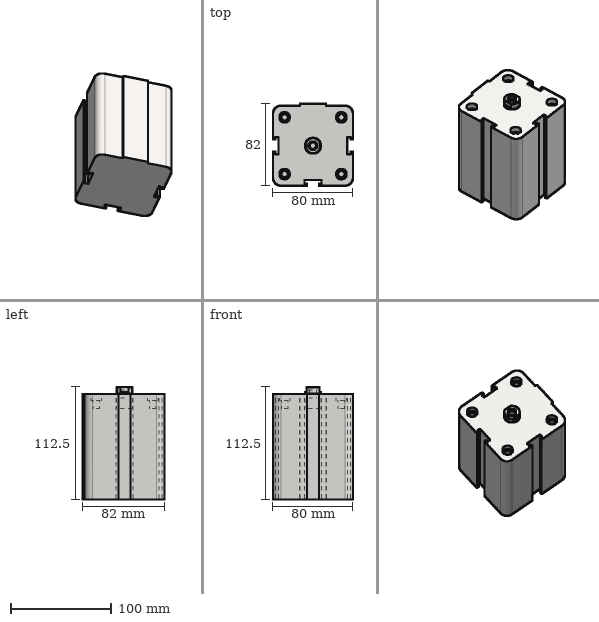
import cadquery as cq

TOTAL_HEIGHT = 112.5
WIDTH = 80.0
HALF_WIDTH = WIDTH / 2
HOUSING_HEIGHT = 105.3
CAP_HEIGHT = 14.4
CORNER_RADIUS = 8.1

PAD_HEIGHT = 2.0
PAD_TOP_WIDTH = 25.5
PAD_BASE_WIDTH = 26.5

SLOT_OPENING = 11.9
SLOT_INNER_WIDTH = 16.5
SLOT_LIP = 2.5
SLOT_DEPTH = 5.6
SLOT_TURNS = (0, 90, -90)

BOLT_SPACING = 56.6
BOLT_HEAD_DIAMETER = 10.5
BOLT_HEAD_DEPTH = 6.6
BOLT_BORE_DIAMETER = 6.6
BOLT_BORE_DEPTH = CAP_HEIGHT

LIP_DIAMETER = 16.0
LIP_HEIGHT = 0.7

ROD_DIAMETER = 15.6
ROD_INSERTION = CAP_HEIGHT
ROD_TIP_DIAMETER = 15.1
ROD_CHAMFER_HEIGHT = 0.6
FLAT_SPACING = 13.2
FLAT_HEIGHT = 5.4
SOCKET_DIAMETER = 8.4
SOCKET_DEPTH = 3.4
ROD_BORE_DIAMETER = 6.6
ROD_BORE_DEPTH = 11.2

ROD_BOTTOM = HOUSING_HEIGHT - ROD_INSERTION
ROD_RADIUS = ROD_DIAMETER / 2


def make_block():
    """Square block with rounded vertical edges."""
    return (
        cq.Workplane("XY")
        .rect(WIDTH, WIDTH)
        .extrude(HOUSING_HEIGHT)
        .edges("|Z")
        .fillet(CORNER_RADIUS)
    )


def make_pad():
    """Full-height pad with sloped flanks on the +Y face, rooted inside the block."""
    return (
        cq.Workplane("XY")
        .moveTo(-PAD_BASE_WIDTH / 2, 0)
        .lineTo(PAD_BASE_WIDTH / 2, 0)
        .lineTo(PAD_BASE_WIDTH / 2, HALF_WIDTH)
        .lineTo(PAD_TOP_WIDTH / 2, HALF_WIDTH + PAD_HEIGHT)
        .lineTo(-PAD_TOP_WIDTH / 2, HALF_WIDTH + PAD_HEIGHT)
        .lineTo(-PAD_BASE_WIDTH / 2, HALF_WIDTH)
        .close()
        .extrude(HOUSING_HEIGHT)
    )


def make_slot(turn):
    """Cutter for one full-height T-slot."""
    neck = cq.Workplane("XY").box(
        SLOT_OPENING, SLOT_DEPTH, HOUSING_HEIGHT, centered=(True, False, False)
    )
    wide = cq.Workplane("XY").box(
        SLOT_INNER_WIDTH, SLOT_DEPTH - SLOT_LIP, HOUSING_HEIGHT, centered=(True, False, False)
    )
    slot = neck.union(wide.translate((0, SLOT_LIP, 0)))
    return slot.translate((0, -HALF_WIDTH, 0)).rotate((0, 0, 0), (0, 0, 1), turn)


def make_wiper_lip():
    """Low ring around the rod, standing on the top face."""
    return (
        cq.Workplane("XY", origin=(0, 0, HOUSING_HEIGHT))
        .circle(LIP_DIAMETER / 2)
        .extrude(LIP_HEIGHT)
    )


def make_bolt_holes(diameter, depth):
    """Cutters for one step of the four corner holes, sunk from the top face."""
    return (
        cq.Workplane("XY", origin=(0, 0, HOUSING_HEIGHT))
        .rect(BOLT_SPACING, BOLT_SPACING, forConstruction=True)
        .vertices()
        .circle(diameter / 2)
        .extrude(-depth)
    )


def make_housing():
    """Profile block with T-slots, corner bolt holes, wiper lip and rod hole."""
    body = make_block().union(make_pad()).union(make_wiper_lip())
    for turn in SLOT_TURNS:
        body = body.cut(make_slot(turn))
    body = body.cut(make_bolt_holes(BOLT_HEAD_DIAMETER, BOLT_HEAD_DEPTH))
    body = body.cut(make_bolt_holes(BOLT_BORE_DIAMETER, BOLT_BORE_DEPTH))
    rod_hole = (
        cq.Workplane("XY", origin=(0, 0, ROD_BOTTOM))
        .circle(ROD_RADIUS)
        .extrude(TOTAL_HEIGHT - ROD_BOTTOM)
    )
    return body.cut(rod_hole)


def make_rod():
    """Piston rod with a chamfered tip, two wrench flats and a stepped bore."""
    body = (
        cq.Workplane("XZ")
        .moveTo(0, ROD_BOTTOM)
        .lineTo(ROD_RADIUS, ROD_BOTTOM)
        .lineTo(ROD_RADIUS, TOTAL_HEIGHT - ROD_CHAMFER_HEIGHT)
        .lineTo(ROD_TIP_DIAMETER / 2, TOTAL_HEIGHT)
        .lineTo(0, TOTAL_HEIGHT)
        .close()
        .revolve(360, (0, 0, 0), (0, 1, 0))
    )
    flat_cutter = cq.Workplane("XY", origin=(0, 0, TOTAL_HEIGHT - FLAT_HEIGHT)).box(
        ROD_DIAMETER, ROD_DIAMETER, FLAT_HEIGHT, centered=(True, True, False)
    )
    flat_offset = (FLAT_SPACING + ROD_DIAMETER) / 2
    for side in (-1, 1):
        body = body.cut(flat_cutter.translate((side * flat_offset, 0, 0)))
    tip = cq.Workplane("XY", origin=(0, 0, TOTAL_HEIGHT))
    body = body.cut(tip.circle(SOCKET_DIAMETER / 2).extrude(-SOCKET_DEPTH))
    return body.cut(tip.circle(ROD_BORE_DIAMETER / 2).extrude(-ROD_BORE_DEPTH))


housing = make_housing()
rod = make_rod()
result = cq.Compound.makeCompound([housing.val(), rod.val()])